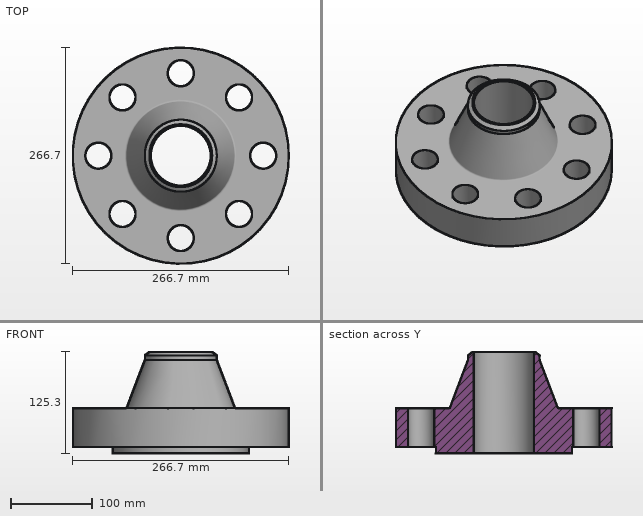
import cadquery as cq
import math

flange_diameter = 266.7
flange_thickness = 48.0
face_diameter = 168.3
face_height = 7.92

total_height = 125.3
hub_diameter = 134.0
neck_diameter = 88.9
bore_diameter = 73.66
neck_length = 5.7
bevel_angle = 37.5
root_land = 2.0
hub_fillet = 2.5

bolt_count = 8
bolt_circle_diameter = 203.2
bolt_hole_diameter = 31.8

flange_bottom = face_height
flange_top = flange_bottom + flange_thickness
bevel_width = (neck_diameter - bore_diameter) / 2 - root_land
bevel_height = bevel_width * math.tan(math.radians(bevel_angle))
bevel_start = total_height - bevel_height
neck_start = bevel_start - neck_length


def flange_body():
    """Solid of revolution: raised face, plate, tapered hub and bevelled neck."""
    profile = [
        (0, 0),
        (face_diameter / 2, 0),
        (face_diameter / 2, flange_bottom),
        (flange_diameter / 2, flange_bottom),
        (flange_diameter / 2, flange_top),
        (hub_diameter / 2, flange_top),
        (neck_diameter / 2, neck_start),
        (neck_diameter / 2, bevel_start),
        (neck_diameter / 2 - bevel_width, total_height),
        (0, total_height),
    ]
    return cq.Workplane("XZ").polyline(profile).close().revolve(360, (0, 0), (0, 1))


def is_hub_root(edge):
    """True for the circle where the hub meets the flange plate."""
    return edge.geomType() == "CIRCLE" and math.isclose(edge.radius(), hub_diameter / 2)


def bore():
    """Cylinder that opens the full height of the part."""
    return cq.Workplane("XY").circle(bore_diameter / 2).extrude(total_height)


def bolt_holes():
    """Ring of plain cylinders through the flange plate."""
    return (
        cq.Workplane("XY")
        .polarArray(bolt_circle_diameter / 2, 0, 360, bolt_count)
        .circle(bolt_hole_diameter / 2)
        .extrude(flange_top)
    )


body = flange_body().edges().filter(is_hub_root).fillet(hub_fillet)
result = body.cut(bore()).cut(bolt_holes())